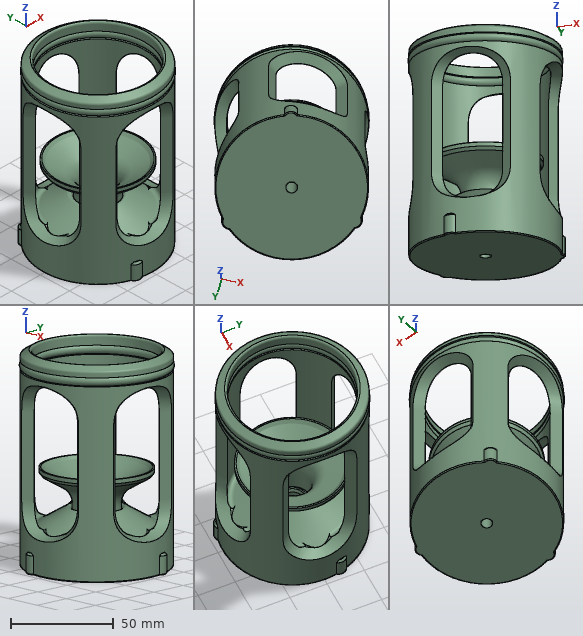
import cadquery as cq
import math

height = 108.0
outer_radius = 37.5
bore_radius = 31.8
slope = math.radians(30)
tan_slope = math.tan(slope)

gasket_bottom = 98.1
gasket_height = 4.5
gasket_bulge = 0.3
cap_bottom = gasket_bottom + gasket_height
cap_top_radius = 33.0
cap_inner_fillet = 1.3
cap_shoulder_fillet = 1.4

bottom_chamfer = 0.5
hub_top = 29.6
hub_line_radius = 15.1
corner_fillet = 2.2
socket_radius = 12.1
socket_floor = 16.2
outlet_radius = 2.8
outlet_chamfer = 0.49

hub_round = (hub_line_radius - socket_radius) / (1 + math.sin(slope))
hub_center = (socket_radius + hub_round, hub_top - hub_round)
cone_top_z = hub_center[1] + hub_round * math.cos(slope)
cone_foot_z = cone_top_z - (bore_radius - hub_line_radius) * tan_slope

window_count = 4
window_center = 56.8
window_corner_distance = 28.0
window_half_width = 15.0
window_half_height = 37.0
window_outer_half_width = 19.8
window_outer_half_height = 38.7

rib_count = 3
rib_radius = 4.05
rib_offset = 34.9
rib_height = 10.7
rib_chamfer = 1.1
rib_start_angle = 15.0

flange_thickness = 2.2
spout_radius = 7.51
spout_height = 2.2
spout_mouth_radius = 6.6
spout_bore_radius = 5.7
spout_taper_depth = 1.6

neck_radius = 12.0
neck_bore_radius = 9.56
neck_bottom = socket_floor + flange_thickness
flare_bottom = 30.9
flare_height = 8.9
funnel_top = 49.2
rim_radius = 28.24
rim_underside = 45.5
rim_band_bottom = 47.1
rim_line_radius = 25.6


def revolve_profile(profile):
    """Close a profile of radius against height and revolve it about the Z axis."""
    return profile.close().revolve(360, (0, 0, 0), (0, 1, 0))


def arc_point(center, radius, angle):
    """Point on a circle, with the angle measured from the outward radial direction."""
    return (center[0] + radius * math.cos(angle), center[1] + radius * math.sin(angle))


def wall():
    """Tube with the fillet that leads from the floor cone up to the bore."""
    corner_center_radius = bore_radius - corner_fillet
    foot_radius = corner_center_radius - corner_fillet * math.sin(slope)
    foot_z = cone_foot_z + (bore_radius - foot_radius) * tan_slope
    corner_center = (corner_center_radius, foot_z + corner_fillet * math.cos(slope))
    corner_middle = arc_point(corner_center, corner_fillet, -(math.pi / 2 + slope) / 2)
    return revolve_profile(
        cq.Workplane("XZ")
        .moveTo(foot_radius, 0)
        .lineTo(outer_radius - bottom_chamfer, 0)
        .lineTo(outer_radius, bottom_chamfer)
        .lineTo(outer_radius, gasket_bottom)
        .lineTo(bore_radius, gasket_bottom)
        .lineTo(bore_radius, corner_center[1])
        .threePointArc(corner_middle, (foot_radius, foot_z))
    )


def floor():
    """Cone with a rounded hub, a socket and the outlet."""
    return revolve_profile(
        cq.Workplane("XZ")
        .moveTo(outlet_radius, 0)
        .lineTo(bore_radius, 0)
        .lineTo(bore_radius, cone_foot_z)
        .lineTo(hub_line_radius, cone_top_z)
        .threePointArc((hub_center[0], hub_top), (socket_radius, hub_center[1]))
        .lineTo(socket_radius, socket_floor)
        .lineTo(outlet_radius + outlet_chamfer, socket_floor)
        .lineTo(outlet_radius, socket_floor - outlet_chamfer)
    )


def window_outline(distance):
    """Rounded window outline in the plane at this distance from the axis.

    The window widens and lengthens outward, so its ends are half ellipses.
    """
    outer_corner_distance = math.sqrt(outer_radius**2 - window_outer_half_width**2)
    widening = (window_outer_half_width - window_half_width) / (outer_corner_distance - window_corner_distance)
    lengthening = (window_outer_half_height - window_half_height) / (outer_radius - bore_radius)

    half_width = window_half_width + widening * (distance - window_corner_distance)
    half_height = window_half_height + lengthening * (distance - bore_radius)
    straight_half = window_half_height - window_half_width
    end_rise = half_height - straight_half

    plane = cq.Plane(origin=(0, -distance, window_center), xDir=(1, 0, 0), normal=(0, -1, 0))
    return (
        cq.Workplane(plane)
        .moveTo(half_width, -straight_half)
        .lineTo(half_width, straight_half)
        .ellipseArc(half_width, end_rise, 0, 180, startAtCurrent=True)
        .lineTo(-half_width, -straight_half)
        .ellipseArc(half_width, end_rise, 180, 360, startAtCurrent=True)
        .close()
        .val()
    )


def window_cutters():
    """Window volumes on the -Y side: a straight slot inside the bore and a flare through the wall."""
    slot = (
        cq.Workplane("XZ")
        .center(0, window_center)
        .slot2D(2 * window_half_height, 2 * window_half_width, 90)
        .extrude(bore_radius)
    )
    start = window_outline(window_corner_distance)
    end = window_outline(outer_radius + 1.1)
    flare = cq.Workplane(cq.Solid.makeLoft([start, end], True))
    return slot, flare


def locating_rib():
    """Upright rounded rib on the +X side."""
    return (
        cq.Workplane("XY")
        .center(rib_offset, 0)
        .circle(rib_radius)
        .extrude(rib_height)
        .faces(">Z")
        .chamfer(rib_chamfer)
        .faces("<Z")
        .chamfer(bottom_chamfer)
    )


def make_cage():
    cage = wall()
    cutters = window_cutters()
    for index in range(window_count):
        turn = index * 360 / window_count
        for cutter in cutters:
            cage = cage.cut(cutter.rotate((0, 0, 0), (0, 0, 1), turn))
    cage = cage.union(floor())
    for index in range(rib_count):
        turn = rib_start_angle + index * 360 / rib_count
        cage = cage.union(locating_rib().rotate((0, 0, 0), (0, 0, 1), turn))
    return cage


def make_gasket():
    """Flat ring with fully rounded inner and outer edges."""
    half = gasket_height / 2
    middle = gasket_bottom + half
    inner_tip = bore_radius - gasket_bulge
    outer_tip = outer_radius + gasket_bulge
    return revolve_profile(
        cq.Workplane("XZ")
        .moveTo(inner_tip + half, gasket_bottom)
        .lineTo(outer_tip - half, gasket_bottom)
        .threePointArc((outer_tip, middle), (outer_tip - half, cap_bottom))
        .lineTo(inner_tip + half, cap_bottom)
        .threePointArc((inner_tip, middle), (inner_tip + half, gasket_bottom))
    )


def make_cap():
    """Top ring with a bevelled outside and rounded edges."""
    shoulder_z = height - (outer_radius - cap_top_radius) * tan_slope
    shoulder_turn = math.pi / 2 - slope
    shoulder_tangent = cap_shoulder_fillet * math.tan(shoulder_turn / 2)
    shoulder_center = (outer_radius - cap_shoulder_fillet, shoulder_z - shoulder_tangent)
    inner_center = (bore_radius + cap_inner_fillet, height - cap_inner_fillet)
    return revolve_profile(
        cq.Workplane("XZ")
        .moveTo(bore_radius, cap_bottom)
        .lineTo(outer_radius, cap_bottom)
        .lineTo(outer_radius, shoulder_center[1])
        .threePointArc(
            arc_point(shoulder_center, cap_shoulder_fillet, shoulder_turn / 2),
            arc_point(shoulder_center, cap_shoulder_fillet, shoulder_turn),
        )
        .lineTo(cap_top_radius, height)
        .threePointArc(
            arc_point(inner_center, cap_inner_fillet, math.radians(135)),
            (bore_radius, inner_center[1]),
        )
    )


def make_nozzle():
    """Flange on the socket floor with a short tapered spout."""
    spout_top = neck_bottom + spout_height
    return revolve_profile(
        cq.Workplane("XZ")
        .moveTo(spout_bore_radius, socket_floor)
        .lineTo(neck_radius, socket_floor)
        .lineTo(neck_radius, neck_bottom)
        .lineTo(spout_radius, neck_bottom)
        .lineTo(spout_radius, spout_top)
        .lineTo(spout_mouth_radius, spout_top)
        .lineTo(spout_bore_radius, spout_top - spout_taper_depth)
    )


def make_funnel():
    """Cone with a flared neck that stands on the nozzle flange."""
    outer_flare = flare_height / math.cos(slope)
    inner_flare = outer_flare + neck_radius - neck_bore_radius
    flare_center = (neck_radius + outer_flare, flare_bottom)
    flare_end = math.pi / 2 + slope
    flare_middle = (math.pi + flare_end) / 2

    outer_cone_start = arc_point(flare_center, outer_flare, flare_end)
    inner_cone_start = arc_point(flare_center, inner_flare, flare_end)
    underside_radius = outer_cone_start[0] + (rim_underside - outer_cone_start[1]) / tan_slope
    rim_line_z = inner_cone_start[1] + (rim_line_radius - inner_cone_start[0]) * tan_slope
    rim_bevel = funnel_top - rim_line_z

    return revolve_profile(
        cq.Workplane("XZ")
        .moveTo(neck_bore_radius, neck_bottom)
        .lineTo(neck_radius, neck_bottom)
        .lineTo(neck_radius, flare_bottom)
        .threePointArc(arc_point(flare_center, outer_flare, flare_middle), outer_cone_start)
        .lineTo(underside_radius, rim_underside)
        .lineTo(rim_radius, rim_band_bottom)
        .lineTo(rim_radius, funnel_top)
        .lineTo(rim_line_radius + rim_bevel, funnel_top)
        .lineTo(rim_line_radius, rim_line_z)
        .lineTo(*inner_cone_start)
        .threePointArc(
            arc_point(flare_center, inner_flare, flare_middle), (neck_bore_radius, flare_bottom)
        )
    )


cage = make_cage()
gasket = make_gasket()
cap = make_cap()
nozzle = make_nozzle()
funnel = make_funnel()

result = cq.Compound.makeCompound(
    [cage.val(), gasket.val(), cap.val(), nozzle.val(), funnel.val()]
)